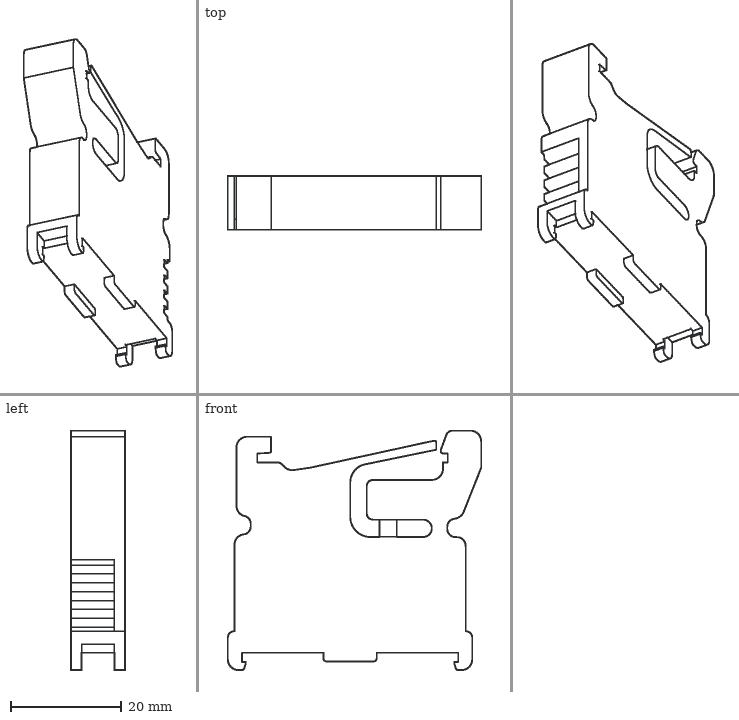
import math

import cadquery as cq


thickness = 9.8
overall_length = 46.02
overall_height = 43.5

foot_half_length = 22.2
body_half_length = 21.0
foot_top = 7.1
foot_shoulder_radius = 1.19
hook_outer_radius = 2.0
hook_inner_x = 19.6
hook_tip_x = 18.9
hook_tip_low = 1.2
hook_tip_high = 1.5
hook_bottom_x = 19.3
hook_bottom_radius = 0.5
base_bottom = 3.15
pad_half_length = 4.86
pad_bottom = 1.57
pad_radius = 0.6

channel_margin = 1.95
channel_width = thickness - 2 * channel_margin
notch_top = 4.7
notch_depth = foot_half_length - hook_tip_x

left_post_x = -20.64
left_post_top = 42.4
left_post_radius = 2.0
left_groove_x = -18.05
left_groove_lower_z = 24.83
left_groove_upper_z = 27.7
left_shoulder_lower_z = 24.48
left_shoulder_upper_z = 28.31
shoulder_radius = 1.95
groove_radius = 1.35

lip_end_x = -14.3
lip_tip_radius = 0.4
lip_top_radius = 0.2
undercut_x = -16.8
undercut_bottom = 37.74
undercut_top = 39.3
lip_bottom = 39.45

ledge_end_x = -12.7
ledge_radius = 1.2
dip_x = -11.2
dip_z = 36.2
dip_radius = 2.0

arm_start_x = -7.2
arm_start_z = 36.78
arm_tip_x = 15.68
arm_tip_top = 41.77
arm_tip_bottom = 40.0
arm_tip_top_radius = 0.4
arm_tip_bottom_radius = 0.25

slot_left_x = 0.07
slot_root_z = 36.8
slot_upper_radius = 3.3
slot_lower_radius = 3.6
relief_bottom = 24.2
relief_top = 27.3
relief_end_x = 14.82
relief_end_radius = 1.54

tongue_left_x = 3.0
tongue_top = 34.56
tongue_radius = 1.2
post_right_x = overall_length - foot_half_length
post_inner_x = 16.85
post_inner_radius = 2.0
post_slope_top = 36.74
post_outer_radius = 2.0
post_inner_top_x = 17.75
post_inner_top_radius = 1.3
catch_x = 17.7
catch_top = 39.3
catch_tip_x = 16.2
catch_tip_radius = 0.5

right_groove_x = 17.68
right_groove_lower_z = 24.25
right_groove_upper_z = 27.2
right_shoulder_lower_z = 24.1
post_base_x = 20.25
post_base_z = 27.75
right_groove_radius = 1.4
right_shoulder_radius = 1.6

pin_diameter = 3.2
pin_x = 6.92

recess_margin = channel_margin
recess_face_x = -20.0
recess_top = 20.04
recess_top_radius = 0.42
recess_bottom_radius = 0.3
rib_groove_floor_x = -18.4
rib_groove_count = 4
rib_groove_pitch = 3.21
first_rib_groove_z = 8.64
rib_groove_height = 1.6
rib_radius = 0.16


def rounded_outline(corners):
    """Closed XZ outline from (x, z, radius) corners; radius 0 keeps a sharp corner."""
    spans = []
    for i, (x, z, radius) in enumerate(corners):
        x_before, z_before, _ = corners[i - 1]
        x_after, z_after, _ = corners[(i + 1) % len(corners)]
        corner = cq.Vector(x, z)
        to_before = (cq.Vector(x_before, z_before) - corner).normalized()
        to_after = (cq.Vector(x_after, z_after) - corner).normalized()
        half_angle = to_before.getAngle(to_after) / 2
        setback = radius / math.tan(half_angle)
        bisector = (to_before + to_after).normalized()
        arc_middle = corner + bisector * (radius / math.sin(half_angle) - radius)
        spans.append((radius, corner + to_before * setback, arc_middle, corner + to_after * setback))

    outline = cq.Workplane("XZ").moveTo(*spans[0][3].toTuple()[:2])
    for radius, start, middle, end in spans[1:] + spans[:1]:
        outline = outline.lineTo(*start.toTuple()[:2])
        if radius > 0:
            outline = outline.threePointArc(middle.toTuple()[:2], end.toTuple()[:2])
    return outline.close()


def foot_corners():
    """Right half of the underside, from the middle pad out to the foot shoulder."""
    return [
        (pad_half_length, pad_bottom, pad_radius),
        (pad_half_length, base_bottom, 0),
        (hook_inner_x, base_bottom, 0),
        (hook_inner_x, hook_tip_high, 0),
        (hook_tip_x, hook_tip_high, 0),
        (hook_tip_x, hook_tip_low, 0),
        (hook_bottom_x, 0, hook_bottom_radius),
        (foot_half_length, 0, hook_outer_radius),
        (foot_half_length, foot_top, foot_shoulder_radius),
        (body_half_length, foot_top, 0),
    ]


def right_side_corners():
    """Finger groove and outer face of the right post, going up."""
    return [
        (body_half_length, right_shoulder_lower_z, right_shoulder_radius),
        (right_groove_x, right_groove_lower_z, right_groove_radius),
        (right_groove_x, right_groove_upper_z, right_groove_radius),
        (post_base_x, post_base_z, shoulder_radius),
        (post_right_x, post_slope_top, 0),
        (post_right_x, overall_height, post_outer_radius),
    ]


def catch_and_tongue_corners():
    """Inner face of the right post down to the tongue, then the slot around it."""
    return [
        (post_inner_top_x, overall_height, post_inner_top_radius),
        (catch_tip_x, catch_top, catch_tip_radius),
        (catch_x, catch_top, 0),
        (catch_x, undercut_bottom, 0),
        (post_inner_x, undercut_bottom, 0),
        (post_inner_x, tongue_top, post_inner_radius),
        (tongue_left_x, tongue_top, tongue_radius),
        (tongue_left_x, relief_top, tongue_radius),
        (relief_end_x, relief_top, relief_end_radius),
        (relief_end_x, relief_bottom, relief_end_radius),
        (slot_left_x, relief_bottom, slot_lower_radius),
        (slot_left_x, slot_root_z, slot_upper_radius),
    ]


def arm_corners():
    """Spring arm from its tip back to the dip beside the left catch."""
    return [
        (arm_tip_x, arm_tip_bottom, arm_tip_bottom_radius),
        (arm_tip_x, arm_tip_top, arm_tip_top_radius),
        (arm_start_x, arm_start_z, 0),
        (dip_x, dip_z, dip_radius),
        (ledge_end_x, undercut_bottom, ledge_radius),
    ]


def left_side_corners():
    """Left catch, left post and its finger groove, going down."""
    return [
        (undercut_x, undercut_bottom, 0),
        (undercut_x, undercut_top, 0),
        (lip_end_x, lip_bottom, lip_tip_radius),
        (lip_end_x, left_post_top, lip_top_radius),
        (left_post_x, left_post_top, left_post_radius),
        (left_post_x, left_shoulder_upper_z, shoulder_radius),
        (left_groove_x, left_groove_upper_z, groove_radius),
        (left_groove_x, left_groove_lower_z, groove_radius),
        (-body_half_length, left_shoulder_lower_z, shoulder_radius),
    ]


def make_body():
    right_foot = foot_corners()
    left_foot = [(-x, z, radius) for x, z, radius in reversed(right_foot)]
    corners = (
        right_foot
        + right_side_corners()
        + catch_and_tongue_corners()
        + arm_corners()
        + left_side_corners()
        + left_foot
    )
    return rounded_outline(corners).extrude(-thickness)


def box(x_min, x_max, y_min, y_max, z_min, z_max):
    size = (x_max - x_min, y_max - y_min, z_max - z_min)
    return cq.Workplane("XY").box(*size, centered=False).translate((x_min, y_min, z_min))


def make_channel():
    """Full-length channel under the base, deeper where it passes the feet."""
    y_min = channel_margin
    y_max = y_min + channel_width
    inner_x = foot_half_length - notch_depth
    channel = box(-foot_half_length, foot_half_length, y_min, y_max, 0, base_bottom)
    left_notch = box(-foot_half_length, -inner_x, y_min, y_max, 0, notch_top)
    right_notch = box(inner_x, foot_half_length, y_min, y_max, 0, notch_top)
    return channel.union(left_notch).union(right_notch)


def make_ribbed_recess():
    """Shallow recess with deeper grooves, from its end wall out through the back face."""
    corners = [
        (-body_half_length, foot_top, 0),
        (recess_face_x, foot_top, recess_bottom_radius),
    ]
    for i in range(rib_groove_count):
        groove_bottom = first_rib_groove_z + i * rib_groove_pitch - rib_groove_height / 2
        groove_top = groove_bottom + rib_groove_height
        corners += [
            (recess_face_x, groove_bottom, rib_radius),
            (rib_groove_floor_x, groove_bottom, rib_radius),
            (rib_groove_floor_x, groove_top, rib_radius),
            (recess_face_x, groove_top, rib_radius),
        ]
    corners += [
        (recess_face_x, recess_top, recess_top_radius),
        (-body_half_length, recess_top, 0),
    ]
    recess_length = thickness - recess_margin
    return rounded_outline(corners).extrude(-recess_length).translate((0, recess_margin, 0))


def make_pin():
    plane = cq.Workplane("XY", origin=(pin_x, thickness / 2, relief_bottom))
    return plane.circle(pin_diameter / 2).extrude(relief_top - relief_bottom)


result = make_body().cut(make_channel()).cut(make_ribbed_recess()).union(make_pin())